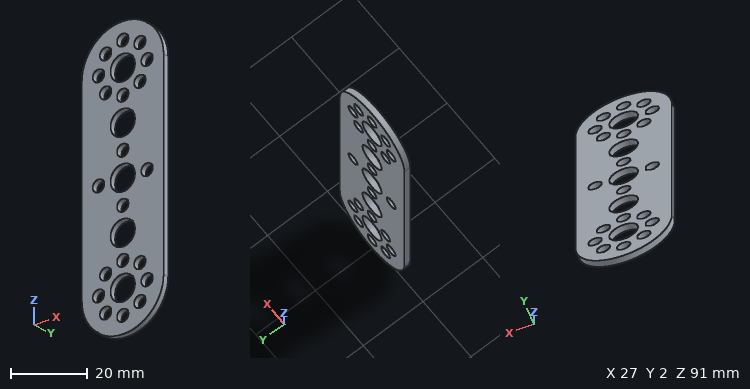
import cadquery as cq

length = 91.0
width = 27.0
thickness = 2.0
large_hole_diameter = 8.0
small_hole_diameter = 3.7
large_hole_count = 5
end_ring_hole_count = 8
middle_ring_hole_count = 4

end_center_height = (length - width) / 2
hole_pitch = 2 * end_center_height / (large_hole_count - 1)
ring_radius = hole_pitch / 2


def through_cylinders(points_workplane, diameter):
    """Cutting cylinders spanning the plate thickness at each point."""
    return points_workplane.circle(diameter / 2).extrude(thickness / 2, both=True)


def hole_ring(center_height, count):
    """Small holes evenly spaced on a circle around a large hole."""
    points = (
        cq.Workplane("XZ")
        .center(0, center_height)
        .polarArray(ring_radius, 0, 360, count)
    )
    return through_cylinders(points, small_hole_diameter)


plate = cq.Workplane("XZ").slot2D(length, width, 90).extrude(thickness / 2, both=True)

large_hole_points = cq.Workplane("XZ").rarray(0.9, hole_pitch, 1, large_hole_count)
plate = plate.cut(through_cylinders(large_hole_points, large_hole_diameter))

for end_height in (-end_center_height, end_center_height):
    plate = plate.cut(hole_ring(end_height, end_ring_hole_count))
plate = plate.cut(hole_ring(0, middle_ring_hole_count))

result = plate